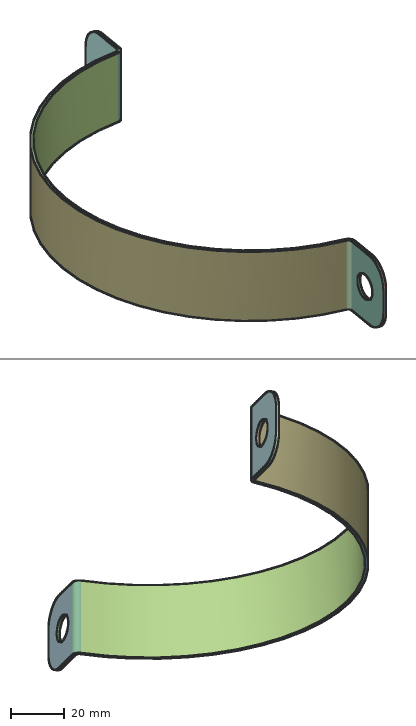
import cadquery as cq
import math

length = 211.7
depth = 76.8
width = 30.0
thickness = 1.3
band_outer_radius = 82.3
bend_inner_radius = 1.5
corner_radius = 10.0
hole_diameter = 10.5
hole_edge_distance = 13.1

half_length = length / 2
band_inner_radius = band_outer_radius - thickness
bend_outer_radius = bend_inner_radius + thickness
band_center_y = band_outer_radius - depth

bend_center_y = -bend_outer_radius
center_rise = band_center_y - bend_center_y
center_distance = band_outer_radius + bend_inner_radius
bend_center_x = math.sqrt(center_distance**2 - center_rise**2)
band_end_angle = math.asin(center_rise / center_distance)
bend_mid_angle = (math.pi / 2 + math.pi - band_end_angle) / 2


def band_end(radius):
    """Right-hand end of a band arc, where it meets the bend."""
    x = radius * math.cos(band_end_angle)
    y = band_center_y - radius * math.sin(band_end_angle)
    return x, y


def bend_middle(radius):
    """Middle of a right-hand bend arc."""
    x = bend_center_x + radius * math.cos(bend_mid_angle)
    y = bend_center_y + radius * math.sin(bend_mid_angle)
    return x, y


def mirrored(point):
    return -point[0], point[1]


def make_strap():
    """Bent strip: ear, bend, circular band, bend, ear."""
    inner_end = band_end(band_inner_radius)
    outer_end = band_end(band_outer_radius)
    rear_bend = bend_middle(bend_outer_radius)
    front_bend = bend_middle(bend_inner_radius)
    profile = (
        cq.Workplane("XY")
        .moveTo(-half_length, 0)
        .lineTo(-bend_center_x, 0)
        .threePointArc(mirrored(rear_bend), mirrored(inner_end))
        .threePointArc((0, thickness - depth), inner_end)
        .threePointArc(rear_bend, (bend_center_x, 0))
        .lineTo(half_length, 0)
        .lineTo(half_length, -thickness)
        .lineTo(bend_center_x, -thickness)
        .threePointArc(front_bend, outer_end)
        .threePointArc((0, -depth), mirrored(outer_end))
        .threePointArc(mirrored(front_bend), (-bend_center_x, -thickness))
        .lineTo(-half_length, -thickness)
        .close()
    )
    return profile.extrude(width / 2, both=True)


def round_ear_corners(strap):
    return strap.faces("<X or >X").edges("|Y").fillet(corner_radius)


def make_hole_cutters():
    """Pins through both ears, starting at their rear faces."""
    hole_x = half_length - hole_edge_distance
    return (
        cq.Workplane("XZ")
        .pushPoints([(-hole_x, 0), (hole_x, 0)])
        .circle(hole_diameter / 2)
        .extrude(thickness)
    )


result = round_ear_corners(make_strap()).cut(make_hole_cutters())